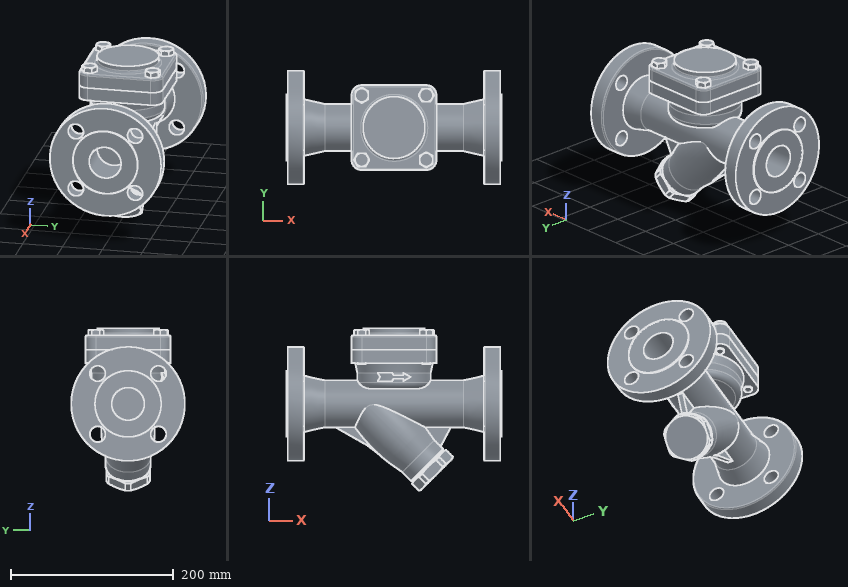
import cadquery as cq
import math


length = 264.0
pipe_dia = 58.0
bore_dia = 40.0
flange_dia = 140.0
flange_thick = 20.0
flange_edge_fillet = 1.5
raised_face_dia = 81.3
raised_face_height = 1.5
hub_dia = 69.7
hub_length = 25.3
flange_hole_dia = 19.0
flange_hole_offset = 37.2
face_x = length / 2
flange_front_x = face_x - raised_face_height
flange_back_x = flange_front_x - flange_thick
hub_end_x = flange_back_x - hub_length

neck_dia = 90.3
neck_top_dia = 95.5
neck_bottom_z = 18.7
neck_bottom_fillet = 8.0
neck_cone_z = 38.0
square_bottom_z = 50.0
square_side = 104.5
square_corner = 12.7
square_thick = 16.5
joint_z = square_bottom_z + square_thick

cover_thick = 18.0
cover_edge_fillet = 2.0
cover_top_z = joint_z + cover_thick
cap_dia = 76.0
cap_height = 8.7
cap_fillet = 3.2

hex_corner_ratio = 1 / math.cos(math.radians(30))

bolt_offset = 39.5
bolt_dia = 10.0
bolt_tip = 1.5
bolt_head_height = 6.9
bolt_head_corners = 19.0
bolt_head_chamfer = 1.0
bolt_head_chamfer_dia = bolt_head_corners / hex_corner_ratio

arrow_height = 1.0
arrow_z = 33.0
arrow_half_width = 5.0
arrow_shaft_half = 2.0
arrow_tail_x = -20.0
arrow_notch_x = -17.2
arrow_shoulder_x = -2.5
arrow_shaft_x = -0.5
arrow_head_x = 11.5
arrow_tip_x = 20.3

branch_start_x = -34.3
branch_bulge_dia = 66.0
branch_start_dia = 56.5
barrel_dia = 56.0
bulge_at = 45.0
barrel_start = 90.3
barrel_end = 106.0
plug_collar_dia = 50.0
plug_hex_start = 108.2
plug_hex_flats = 54.0
plug_hex_corners = 59.1
plug_end = 122.5
plug_chamfer = 1.0

web_thick = 6.9
web_left_x = -71.5
web_knee = (-33.0, -51.0)
web_left_foot = (4.0, -79.2)
web_right_x = 69.7
web_right_foot = (57.0, -53.0)


def x_cylinder(x_start, x_end, dia):
    return cq.Workplane("YZ", origin=(x_start, 0, 0)).circle(dia / 2).extrude(x_end - x_start)


def make_end():
    """Inlet end at -X: raised face, drilled flange and tapered hub."""
    flange = x_cylinder(-flange_front_x, -flange_back_x, flange_dia)
    flange = flange.faces(">X").edges().fillet(flange_edge_fillet)
    raised_face = x_cylinder(-face_x, -flange_front_x, raised_face_dia)
    hub = (
        cq.Workplane("XY")
        .moveTo(-flange_back_x, 0)
        .lineTo(-flange_back_x, hub_dia / 2)
        .lineTo(-hub_end_x, pipe_dia / 2)
        .lineTo(-hub_end_x, 0)
        .close()
        .revolve(360, (0, 0, 0), (1, 0, 0))
    )
    holes = (
        cq.Workplane("YZ", origin=(-face_x, 0, 0))
        .rect(2 * flange_hole_offset, 2 * flange_hole_offset, forConstruction=True)
        .vertices()
        .circle(flange_hole_dia / 2)
        .extrude(face_x - flange_back_x)
    )
    return flange.union(raised_face).union(hub).cut(holes)


def make_neck():
    """Round neck that flares up to the square joint."""
    neck = (
        cq.Workplane("XY", origin=(0, 0, neck_bottom_z))
        .circle(neck_dia / 2)
        .extrude(neck_cone_z - neck_bottom_z)
        .faces("<Z")
        .edges()
        .fillet(neck_bottom_fillet)
    )
    flare = (
        cq.Workplane("XY", origin=(0, 0, neck_cone_z))
        .circle(neck_dia / 2)
        .workplane(offset=square_bottom_z - neck_cone_z)
        .circle(neck_top_dia / 2)
        .loft(ruled=True)
    )
    return neck.union(flare)


def make_arrow():
    """Flow arrow standing proud of the round neck."""
    upper = [
        (arrow_tail_x, arrow_half_width),
        (arrow_shoulder_x, arrow_half_width),
        (arrow_shaft_x, arrow_shaft_half),
        (arrow_head_x, arrow_shaft_half),
        (arrow_head_x, arrow_half_width),
    ]
    lower = [(x, -z) for x, z in reversed(upper)]
    outline = upper + [(arrow_tip_x, 0)] + lower + [(arrow_notch_x, 0)]
    prism = cq.Workplane("XZ", origin=(0, 0, arrow_z)).polyline(outline).close().extrude(neck_dia)
    skin = (
        cq.Workplane("XY", origin=(0, 0, neck_bottom_z))
        .circle(neck_dia / 2 + arrow_height)
        .extrude(square_bottom_z - neck_bottom_z)
    )
    return prism.intersect(skin)


def make_square(bottom_z, height):
    square = cq.Workplane("XY", origin=(0, 0, bottom_z)).rect(square_side, square_side).extrude(height)
    return square.edges("|Z").fillet(square_corner)


def branch_plane(distance):
    """Plane across the branch axis, at a distance along it."""
    step = distance / math.sqrt(2)
    return cq.Plane(origin=(branch_start_x + step, 0, -step), xDir=(1, 0, 1), normal=(1, 0, -1))


def make_branch():
    """Bulged branch with a straight barrel at its lower end."""
    half_profile = (
        cq.Workplane(cq.Plane(origin=(branch_start_x, 0, 0), xDir=(1, 0, -1), normal=(0, -1, 0)))
        .lineTo(0, branch_start_dia / 2)
        .threePointArc((bulge_at, branch_bulge_dia / 2), (barrel_start, barrel_dia / 2))
        .lineTo(barrel_end, barrel_dia / 2)
        .lineTo(barrel_end, 0)
        .close()
    )
    return half_profile.revolve(360, (0, 0, 0), (1, 0, 0))


def make_plug():
    """Hexagonal plug on a short collar, with its corners turned round."""
    collar_length = plug_hex_start - barrel_end
    collar = cq.Workplane(branch_plane(barrel_end)).circle(plug_collar_dia / 2).extrude(collar_length)
    height = plug_end - plug_hex_start
    full_corners = plug_hex_flats * hex_corner_ratio
    turned = (
        cq.Workplane(branch_plane(plug_hex_start))
        .circle(plug_hex_corners / 2)
        .extrude(height)
        .edges()
        .chamfer(plug_chamfer, (plug_hex_corners - plug_hex_flats) / 2)
    )
    hexagon = cq.Workplane(branch_plane(plug_hex_start)).polygon(6, full_corners).extrude(height)
    return collar.union(hexagon.intersect(turned))


def make_web():
    """Flat web, centred on Y, filling the corners between pipe and branch."""
    axis_point = branch_plane(barrel_start).origin
    outline = [
        (web_left_x, 0),
        (web_left_x, -pipe_dia / 2),
        web_knee,
        web_left_foot,
        (axis_point.x, axis_point.z),
        web_right_foot,
        (web_right_x, -pipe_dia / 2),
        (web_right_x, 0),
    ]
    return cq.Workplane("XZ").polyline(outline).close().extrude(web_thick / 2, both=True)


def bolt_places():
    return [(x * bolt_offset, y * bolt_offset) for x in (-1, 1) for y in (-1, 1)]


def make_housing():
    """Pipe, flanges, strainer branch with its plug, neck and lower half of the square joint."""
    pipe = x_cylinder(-hub_end_x, hub_end_x, pipe_dia)
    inlet = make_end()
    housing = pipe.union(inlet).union(inlet.mirror("YZ"))
    housing = housing.union(make_web()).union(make_branch()).union(make_plug())
    housing = housing.union(make_neck()).union(make_arrow())
    housing = housing.union(make_square(square_bottom_z, square_thick))
    for start in (-face_x, hub_end_x):
        housing = housing.cut(x_cylinder(start, start + face_x - hub_end_x, bore_dia))
    bolt_holes = (
        cq.Workplane("XY", origin=(0, 0, square_bottom_z))
        .pushPoints(bolt_places())
        .circle(bolt_dia / 2)
        .extrude(square_thick)
    )
    return housing.cut(bolt_holes)


def make_bolt(x, y):
    """Hex bolt; neighbouring heads are a quarter turn apart."""
    turn = 0 if x * y > 0 else 90
    head = cq.Workplane("XY").polygon(6, bolt_head_corners).extrude(bolt_head_height)
    head = head.rotate((0, 0, 0), (0, 0, 1), turn)
    turned = (
        cq.Workplane("XY")
        .circle(bolt_head_corners / 2)
        .extrude(bolt_head_height)
        .faces(">Z")
        .edges()
        .chamfer(bolt_head_chamfer, (bolt_head_corners - bolt_head_chamfer_dia) / 2)
    )
    shank_length = cover_top_z - square_bottom_z + bolt_tip
    shank = cq.Workplane("XY").circle(bolt_dia / 2).extrude(-shank_length)
    return head.intersect(turned).union(shank).translate((x, y, cover_top_z))


def make_cover():
    """Square cover with its raised round cap and four bolts reaching through the housing."""
    cover = make_square(joint_z, cover_thick).faces(">Z").edges().fillet(cover_edge_fillet)
    cap = cq.Workplane("XY", origin=(0, 0, cover_top_z)).circle(cap_dia / 2).extrude(cap_height)
    cover = cover.union(cap)
    cap_root = cover.faces("+Z").edges("%CIRCLE").edges(cq.selectors.RadiusNthSelector(-1))
    cover = cap_root.edges("<Z").fillet(cap_fillet)
    for x, y in bolt_places():
        cover = cover.union(make_bolt(x, y))
    return cover


housing = make_housing()
cover = make_cover()
result = cq.Compound.makeCompound([housing.val(), cover.val()])